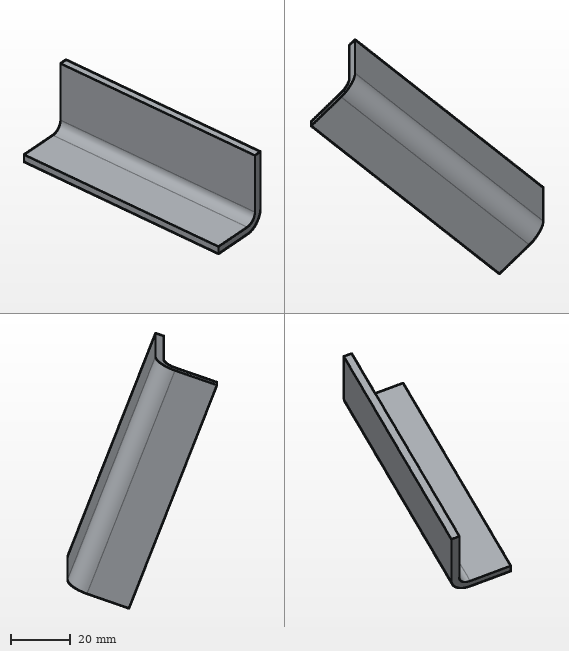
import cadquery as cq

length = 85.0
base_width = 22.0
wall_height = 30.0
thickness = 3.0
inner_bend_radius = 4.0
outer_bend_radius = inner_bend_radius + thickness


def bent_angle():
    """L-section along X: base in the XY plane, wall on the +Y side."""
    section = (
        cq.Workplane("YZ")
        .moveTo(0, 0)
        .lineTo(base_width, 0)
        .lineTo(base_width, wall_height)
        .lineTo(base_width - thickness, wall_height)
        .lineTo(base_width - thickness, thickness)
        .lineTo(0, thickness)
        .close()
    )
    return section.extrude(length)


def round_bend(angle):
    """Round both sides of the bend about a common centre."""
    inner_corner = cq.selectors.NearestToPointSelector((length / 2, base_width - thickness, thickness))
    outer_corner = cq.selectors.NearestToPointSelector((length / 2, base_width, 0))
    rounded_inside = angle.edges("|X").edges(inner_corner).fillet(inner_bend_radius)
    return rounded_inside.edges("|X").edges(outer_corner).fillet(outer_bend_radius)


result = round_bend(bent_angle())